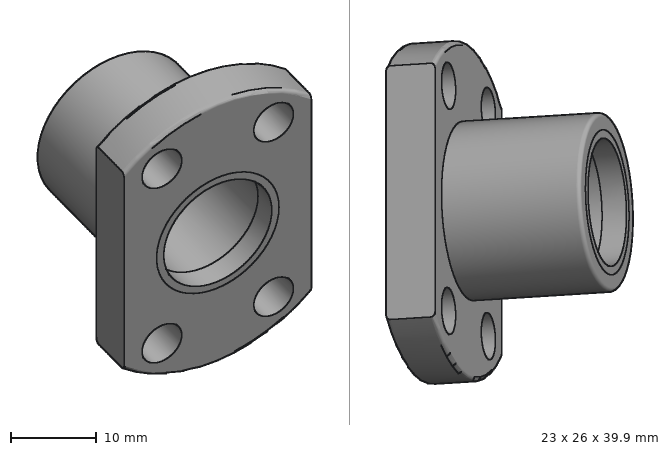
import cadquery as cq
import math

TOTAL_LENGTH = 23.0
FLANGE_DIAMETER = 39.88
FLANGE_WIDTH = 26.0
FLANGE_THICKNESS = 6.02
BARREL_DIAMETER = 21.0
EDGE_RADIUS = 0.5

BORE_DIAMETER = 15.0
SEAL_DIAMETER = 17.0
SEAL_LENGTH = 3.0

BOLT_CIRCLE_DIAMETER = 31.0
BOLT_HOLE_DIAMETER = 5.5
BOLT_ANGLE = 60.0

FLANGE_START = TOTAL_LENGTH - FLANGE_THICKNESS
SEAL_STARTS = (0.0, TOTAL_LENGTH - SEAL_LENGTH)


def cylinder(diameter, start, length):
    """Solid cylinder along X, beginning at X = start."""
    return cq.Workplane("YZ", origin=(start, 0, 0)).circle(diameter / 2).extrude(length)


def make_flange():
    """Rounded disc trimmed to two flats facing -Y and +Y."""
    disc = cylinder(FLANGE_DIAMETER, FLANGE_START, FLANGE_THICKNESS).edges().fillet(EDGE_RADIUS)
    flats = (
        cq.Workplane("YZ", origin=(FLANGE_START, 0, 0))
        .rect(FLANGE_WIDTH, FLANGE_DIAMETER)
        .extrude(FLANGE_THICKNESS)
    )
    return disc.intersect(flats)


def make_bolt_holes():
    """Four cutters on the bolt circle, mirrored about both flange axes."""
    angle = math.radians(BOLT_ANGLE)
    spacing_y = BOLT_CIRCLE_DIAMETER * math.cos(angle)
    spacing_z = BOLT_CIRCLE_DIAMETER * math.sin(angle)
    return (
        cq.Workplane("YZ", origin=(FLANGE_START, 0, 0))
        .rect(spacing_y, spacing_z, forConstruction=True)
        .vertices()
        .circle(BOLT_HOLE_DIAMETER / 2)
        .extrude(FLANGE_THICKNESS)
    )


def make_housing():
    """Flanged barrel with a through bore and a seal recess at each end."""
    barrel = cylinder(BARREL_DIAMETER, 0, TOTAL_LENGTH).faces("<X").edges().fillet(EDGE_RADIUS)
    housing = barrel.union(make_flange()).cut(make_bolt_holes())
    housing = housing.cut(cylinder(BORE_DIAMETER, 0, TOTAL_LENGTH))
    for start in SEAL_STARTS:
        housing = housing.cut(cylinder(SEAL_DIAMETER, start, SEAL_LENGTH))
    return housing


def make_seal(start):
    """Ring that fills one recess, flush with the bore and the end face."""
    ring = cylinder(SEAL_DIAMETER, start, SEAL_LENGTH)
    return ring.cut(cylinder(BORE_DIAMETER, start, SEAL_LENGTH))


housing = make_housing()
seals = [make_seal(start).val() for start in SEAL_STARTS]

result = cq.Compound.makeCompound([housing.val(), *seals])